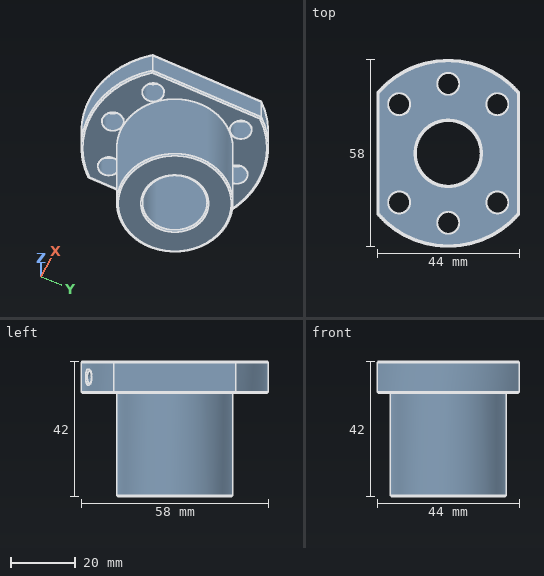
import cadquery as cq
import math

flange_diameter = 58.0
flange_width = 44.0
flange_thickness = 10.0
total_height = 42.0
body_diameter = 36.0
bore_diameter = 20.0
edge_chamfer = 0.5

bolt_hole_diameter = 6.7
bolt_circle_diameter = 43.05
bolt_hole_angles = [45, 90, 135, 225, 270, 315]

oil_hole_diameter = 4.0
oil_hole_depth = 10.0
oil_hole_angle = (90 + 135) / 2

flange_bottom = total_height - flange_thickness


def make_flange():
    """Round flange with two parallel flats, chamfered top and bottom."""
    disc = cq.Workplane("XY").circle(flange_diameter / 2).extrude(flange_thickness)
    flats = cq.Workplane("XY").rect(flange_width, flange_diameter).extrude(flange_thickness)
    flange = disc.intersect(flats).faces("<Z or >Z").chamfer(edge_chamfer)
    return flange.translate((0, 0, flange_bottom))


def make_body():
    """Cylindrical nut body with a chamfered lower end, reaching up to the flange."""
    body = cq.Workplane("XY").circle(body_diameter / 2).extrude(flange_bottom)
    return body.faces("<Z").chamfer(edge_chamfer)


def make_bore():
    """Cutter for the central bore, widened by a chamfer at both ends."""
    radius = bore_diameter / 2
    mouth_radius = radius + edge_chamfer
    profile = [
        (0, 0),
        (mouth_radius, 0),
        (radius, edge_chamfer),
        (radius, total_height - edge_chamfer),
        (mouth_radius, total_height),
        (0, total_height),
    ]
    return cq.Workplane("XZ").polyline(profile).close().revolve(360, (0, 0), (0, 1))


def make_bolt_holes():
    """Cutter for the mounting holes on their bolt circle."""
    radius = bolt_circle_diameter / 2
    centers = [
        (radius * math.cos(math.radians(angle)), radius * math.sin(math.radians(angle)))
        for angle in bolt_hole_angles
    ]
    holes = cq.Workplane("XY").workplane(offset=flange_bottom).pushPoints(centers)
    return holes.circle(bolt_hole_diameter / 2).extrude(flange_thickness)


def make_oil_hole():
    """Cutter for the countersunk blind oil hole in the flange rim."""
    rim = flange_diameter / 2
    floor = rim - oil_hole_depth
    radius = oil_hole_diameter / 2
    profile = [
        (floor, 0),
        (floor, radius),
        (rim - edge_chamfer, radius),
        (rim, radius + edge_chamfer),
        (rim, 0),
    ]
    cutter = cq.Workplane("XY").polyline(profile).close().revolve(360, (0, 0), (1, 0))
    cutter = cutter.rotate((0, 0, 0), (0, 0, 1), oil_hole_angle)
    return cutter.translate((0, 0, flange_bottom + flange_thickness / 2))


nut = make_flange().union(make_body())
result = nut.cut(make_bore()).cut(make_bolt_holes()).cut(make_oil_hole())